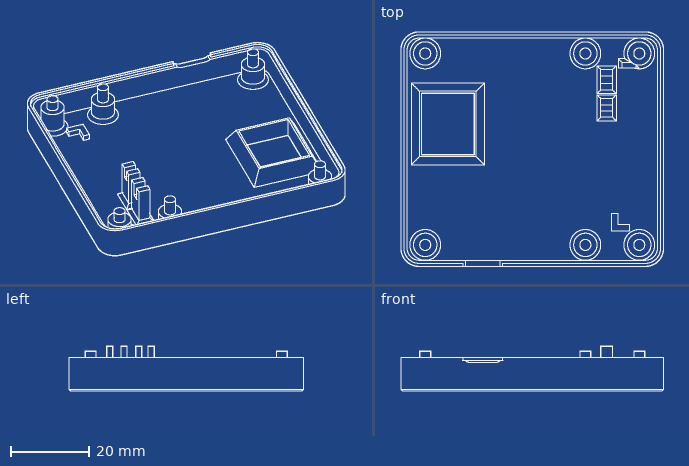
import cadquery as cq
import math

LENGTH = 67.3
WIDTH = 60.1
RIM_HEIGHT = 8.6
CORNER_RADIUS = 4.7
BOTTOM_CHAMFER = 0.5
FLOOR = 1.2
WALL = 1.6
LIP_WIDTH = WALL / 2
LIP_DEPTH = 0.8
SHELF_HEIGHT = RIM_HEIGHT - LIP_DEPTH

FLARE = 0.95

PIN_DIAMETER = 2.8
PIN_TOP = 10.2
BOSS_DIAMETER = 6.0
BOSS_COLUMNS = (-27.4, 13.6, 27.4)
BOSS_TOPS = (6.25, 6.25, 7.55)
BOSS_ROW_OFFSET = 24.5

WINDOW_LENGTH = 13.45
WINDOW_WIDTH = 15.7
WINDOW_CENTER = (-21.6, 6.45)
FRAME_RIM = 0.55
FRAME_SLOPE_RUN = 2.1
FRAME_HEIGHT = 4.05

POST_TOP = 11.5
POST_CENTER_X = 19.05
POST_LENGTH = 3.0
PRONG_WIDTH = 1.6
REAR_POST_Y = 17.8
REAR_SLOT_WIDTH = 2.0
REAR_SLOT_DEPTH = 3.65
FRONT_POST_Y = 10.55
FRONT_SLOT_WIDTH = 1.55
FRONT_SLOT_DEPTH = 3.0

PAD_LENGTH = 3.6
PAD_WIDTH = 1.5
PAD_CENTER_X = 24.8
PAD_FRONT_Y = 20.7

STOP_CORNER = (20.3, -20.9)
STOP_ARM = 4.5
STOP_THICKNESS = 1.6
STOP_HEIGHT = 1.5

NOTCH_CENTER_X = -12.65
NOTCH_LIP_LENGTH = 10.15
NOTCH_FLAT_LENGTH = 6.3
NOTCH_CORNER_RADIUS = 2.0
NOTCH_DROP = 0.5


def box(length, width, bottom, top, center=(0, 0)):
    """Upright block between two heights."""
    return (
        cq.Workplane("XY", origin=(center[0], center[1], bottom))
        .rect(length, width)
        .extrude(top - bottom)
    )


def rounded_box(inset, bottom, top):
    """Block following the tray outline, offset inward."""
    block = box(LENGTH - 2 * inset, WIDTH - 2 * inset, bottom, top)
    return block.edges("|Z").fillet(CORNER_RADIUS - inset)


def frustum(base_length, base_width, run, height, center):
    """Block on the floor whose four sides lean inward by the given run."""
    taper = math.degrees(math.atan2(run, height))
    return (
        cq.Workplane("XY", origin=(center[0], center[1], FLOOR))
        .rect(base_length, base_width)
        .extrude(height, taper=taper)
    )


def tray():
    shell = rounded_box(0, 0, RIM_HEIGHT).faces("<Z").chamfer(BOTTOM_CHAMFER)
    shell = shell.cut(rounded_box(WALL, FLOOR, RIM_HEIGHT))
    return shell.cut(rounded_box(LIP_WIDTH, SHELF_HEIGHT, RIM_HEIGHT))


def pin_boss(x, y, boss_top):
    """Revolved boss rooted in the floor: flared foot, cylinder and pin."""
    boss_radius = BOSS_DIAMETER / 2
    pin_radius = PIN_DIAMETER / 2
    profile = [
        (0, 0),
        (boss_radius + FLARE, 0),
        (boss_radius + FLARE, FLOOR),
        (boss_radius, FLOOR + FLARE),
        (boss_radius, boss_top),
        (pin_radius, boss_top),
        (pin_radius, PIN_TOP),
        (0, PIN_TOP),
    ]
    return (
        cq.Workplane("XZ")
        .polyline(profile)
        .close()
        .revolve(360, (0, 0, 0), (0, 1, 0))
        .translate((x, y, 0))
    )


def forked_post(center_y, slot_width, slot_depth):
    width = slot_width + 2 * PRONG_WIDTH
    center = (POST_CENTER_X, center_y)
    post = box(POST_LENGTH, width, FLOOR, POST_TOP, center)
    slot = box(POST_LENGTH, slot_width, POST_TOP - slot_depth, POST_TOP, center)
    foot = frustum(POST_LENGTH + 2 * FLARE, width + 2 * FLARE, FLARE, FLARE, center)
    return post.cut(slot).union(foot)


def pad():
    """Half of a symmetric frustum, cut off square at its front."""
    length = PAD_LENGTH + 2 * FLARE
    half_width = PAD_WIDTH + FLARE
    whole = frustum(length, 2 * half_width, FLARE, FLARE, (PAD_CENTER_X, PAD_FRONT_Y))
    front_center = (PAD_CENTER_X, PAD_FRONT_Y - half_width / 2)
    front_half = box(length, half_width, FLOOR, FLOOR + FLARE, front_center)
    return whole.cut(front_half)


def corner_stop():
    x, y = STOP_CORNER
    outline = [
        (0, 0),
        (STOP_ARM, 0),
        (STOP_ARM, STOP_THICKNESS),
        (STOP_THICKNESS, STOP_THICKNESS),
        (STOP_THICKNESS, STOP_ARM),
        (0, STOP_ARM),
    ]
    return (
        cq.Workplane("XY", origin=(x, y, FLOOR))
        .polyline(outline)
        .close()
        .extrude(STOP_HEIGHT)
    )


def window_frame():
    margin = 2 * (FRAME_RIM + FRAME_SLOPE_RUN)
    base_length = WINDOW_LENGTH + margin
    base_width = WINDOW_WIDTH + margin
    return frustum(base_length, base_width, FRAME_SLOPE_RUN, FRAME_HEIGHT, WINDOW_CENTER)


def window_opening():
    return box(WINDOW_LENGTH, WINDOW_WIDTH, 0, FLOOR + FRAME_HEIGHT, WINDOW_CENTER)


def connector_notch():
    """Gap in the lip above a rounded-bottom trough across the front wall."""
    wall_center = (NOTCH_CENTER_X, (WALL - WIDTH) / 2)
    lip_gap = box(NOTCH_LIP_LENGTH, WALL, SHELF_HEIGHT, RIM_HEIGHT, wall_center)
    trough_bottom = SHELF_HEIGHT - NOTCH_DROP
    trough_length = NOTCH_FLAT_LENGTH + 2 * NOTCH_CORNER_RADIUS
    trough_top = trough_bottom + 2 * NOTCH_CORNER_RADIUS
    trough = box(trough_length, WALL, trough_bottom, trough_top, wall_center)
    trough = trough.edges("|Y and <Z").fillet(NOTCH_CORNER_RADIUS)
    below_shelf = box(trough_length, WALL, trough_bottom, SHELF_HEIGHT, wall_center)
    return lip_gap.union(trough.intersect(below_shelf))


result = tray().union(window_frame()).cut(window_opening())
for column, boss_top in zip(BOSS_COLUMNS, BOSS_TOPS):
    for row in (-BOSS_ROW_OFFSET, BOSS_ROW_OFFSET):
        result = result.union(pin_boss(column, row, boss_top))
result = result.union(forked_post(REAR_POST_Y, REAR_SLOT_WIDTH, REAR_SLOT_DEPTH))
result = result.union(forked_post(FRONT_POST_Y, FRONT_SLOT_WIDTH, FRONT_SLOT_DEPTH))
result = result.union(pad()).union(corner_stop()).cut(connector_notch())